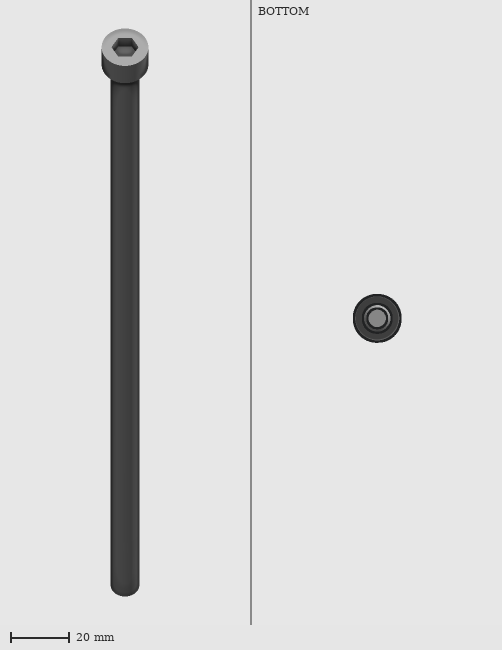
import cadquery as cq
import math

total_length = 310.0
head_diameter = 16.0
head_height = 10.0
shank_diameter = 10.0
tip_chamfer = 1.5
thread_length = 32.5
socket_across_flats = 8.0
socket_depth = 5.0

shank_length = total_length - head_height
socket_across_corners = socket_across_flats / math.cos(math.pi / 6)


def make_cylinder(diameter, bottom, top):
    return cq.Workplane("XY").workplane(offset=bottom).circle(diameter / 2).extrude(top - bottom)


def make_socket():
    return (
        cq.Workplane("XY")
        .workplane(offset=total_length - socket_depth)
        .polygon(6, socket_across_corners)
        .extrude(socket_depth)
    )


threaded_end = make_cylinder(shank_diameter, 0, thread_length).faces("<Z").chamfer(tip_chamfer)
plain_shank = make_cylinder(shank_diameter, thread_length, shank_length)
head = make_cylinder(head_diameter, shank_length, total_length).cut(make_socket())

result = head.union(plain_shank, clean=False).union(threaded_end, clean=False)